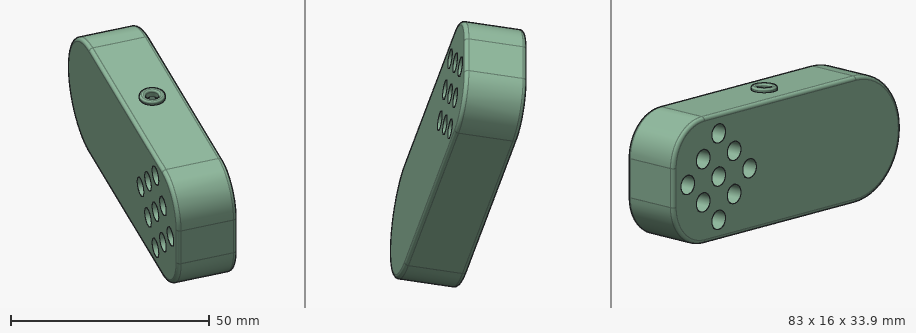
import cadquery as cq
import math

body_length = 83.0
body_height = 32.9
body_depth = 16.0
left_radius = body_height / 2
right_corner_radius = 11.4
edge_fillet = 1.0

ring_height = 1.0
ring_radius = 3.3
ring_hole_radius = 1.7
ring_hole_depth = 2.0
ring_fillet = 0.6

grid_count = 3
grid_pitch = 8.0
grid_angle = 45
grid_center_x = 25.0
grid_hole_diameter = 5.0


def make_body():
    """Extrude the half-round-ended outline and round both of its rims."""
    right = body_length / 2
    left = -right
    top = body_height / 2
    corner_x = right - right_corner_radius
    corner_z = top - right_corner_radius
    corner_reach = right_corner_radius * math.sin(math.radians(45))
    arc_mid_x = corner_x + corner_reach
    arc_mid_z = corner_z + corner_reach
    left_arc_x = left + left_radius

    outline = (
        cq.Workplane("XZ")
        .moveTo(left_arc_x, top)
        .lineTo(corner_x, top)
        .threePointArc((arc_mid_x, arc_mid_z), (right, corner_z))
        .lineTo(right, -corner_z)
        .threePointArc((arc_mid_x, -arc_mid_z), (corner_x, -top))
        .lineTo(left_arc_x, -top)
        .threePointArc((left, 0), (left_arc_x, top))
        .close()
    )
    slab = outline.extrude(body_depth / 2, both=True)
    return slab.faces("<Y or >Y").edges().fillet(edge_fillet)


def add_ring(body):
    """Add the ring, with rounded outer and inner rims, around its blind hole."""
    ring_top = body_height / 2 + ring_height
    hole = (
        cq.Workplane("XY", origin=(0, 0, ring_top))
        .circle(ring_hole_radius)
        .extrude(-ring_hole_depth)
    )
    post = cq.Workplane("XY").circle(ring_radius).extrude(ring_top)
    ring = post.cut(hole).faces(">Z").edges().fillet(ring_fillet)
    return body.cut(hole).union(ring)


def cut_hole_grid(body):
    """Cut the diamond of round holes through the whole depth."""
    holes = (
        cq.Workplane("XZ", origin=(grid_center_x, 0, 0))
        .transformed(rotate=(0, 0, grid_angle))
        .rarray(grid_pitch, grid_pitch, grid_count, grid_count)
        .circle(grid_hole_diameter / 2)
        .extrude(body_depth / 2, both=True)
    )
    return body.cut(holes)


result = cut_hole_grid(add_ring(make_body()))